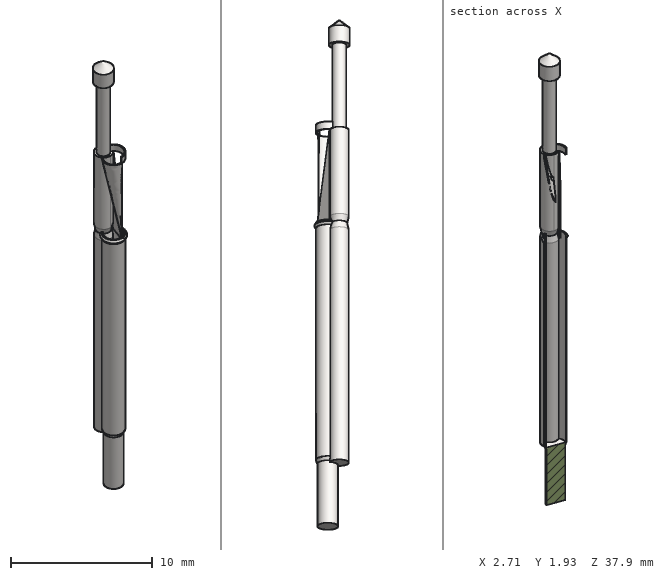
import cadquery as cq

head_dia = 1.5
head_bottom = 35.97
tip_base = 37.2
tip_top = 37.85
plunger_dia = 1.0
barrel_dia = 1.36
barrel_bottom = 4.57
barrel_top = 29.58

crimp_z = 22.58
crimp_half_height = 0.5
crimp_depth = 0.11
ring_dia = 1.93
ring_half_height = 0.19

receptacle_x = 0.995
receptacle_dia = 1.7
receptacle_bore_dia = 1.5
rim_top = 30.14
shoulder_top = 4.98
shoulder_bottom = 4.7
tail_dia = 1.47

receptacle_radius = receptacle_dia / 2
bore_radius = receptacle_bore_dia / 2
wall = receptacle_radius - bore_radius
ring_top = crimp_z + ring_half_height
ring_bottom = crimp_z - ring_half_height

scoop_point_radius = 0.02
scoop_inner_point_radius = scoop_point_radius / 2
web_start_x = 0.4
web_start_y = 0.5
join_overlap = 0.05


def vertical_cylinder(x, diameter, bottom, top):
    return cq.Workplane("XY", origin=(x, 0, bottom)).circle(diameter / 2).extrude(top - bottom)


def half_space_box(y_min, y_max):
    """Box around the receptacle head that keeps only y_min to y_max."""
    height = rim_top - crimp_z
    return (
        cq.Workplane("XY", origin=(receptacle_x, (y_min + y_max) / 2, crimp_z))
        .box(2 * receptacle_dia, y_max - y_min, height, centered=(True, True, False))
    )


def make_probe():
    """Plunger, pointed head and V-crimped barrel as one turned profile."""
    head_radius = head_dia / 2
    plunger_radius = plunger_dia / 2
    barrel_radius = barrel_dia / 2
    return (
        cq.Workplane("XZ")
        .moveTo(0, barrel_bottom)
        .lineTo(barrel_radius, barrel_bottom)
        .lineTo(barrel_radius, crimp_z - crimp_half_height)
        .lineTo(barrel_radius - crimp_depth, crimp_z)
        .lineTo(barrel_radius, crimp_z + crimp_half_height)
        .lineTo(barrel_radius, barrel_top)
        .lineTo(plunger_radius, barrel_top)
        .lineTo(plunger_radius, head_bottom)
        .lineTo(head_radius, head_bottom)
        .lineTo(head_radius, tip_base)
        .lineTo(0, tip_top)
        .close()
        .revolve(360, (0, 0), (0, 1))
    )


def make_receptacle():
    """Tube with a ridged swage ring on top, a tapered shoulder and a solid tail."""
    tail_radius = tail_dia / 2
    return (
        cq.Workplane("XZ", origin=(receptacle_x, 0, 0))
        .lineTo(tail_radius, 0)
        .lineTo(tail_radius, shoulder_bottom)
        .lineTo(receptacle_radius, shoulder_top)
        .lineTo(receptacle_radius, ring_bottom)
        .lineTo(ring_dia / 2, crimp_z)
        .lineTo(receptacle_radius, ring_top)
        .lineTo(bore_radius, ring_top)
        .lineTo(bore_radius, shoulder_top)
        .lineTo(0, shoulder_top)
        .close()
        .revolve(360, (0, 0), (0, 1))
    )


def make_rim():
    """Half ring standing above the barrel top, on the +Y side."""
    tube = vertical_cylinder(receptacle_x, receptacle_dia, barrel_top, rim_top)
    bore = vertical_cylinder(receptacle_x, receptacle_bore_dia, barrel_top, rim_top)
    return tube.cut(bore).intersect(half_space_box(-join_overlap, receptacle_dia))


def leaning_cone(rim_radius, point_radius):
    """Oblique cone from the rim circle down to a point above the ring's +X side."""
    point_x = receptacle_radius - wall / 2
    return (
        cq.Workplane("XY", origin=(receptacle_x, 0, barrel_top))
        .circle(rim_radius)
        .workplane(offset=ring_top - barrel_top)
        .center(point_x, 0)
        .circle(point_radius)
        .loft(ruled=True)
    )


def make_scoop():
    """Half of the hollow leaning cone, on the -Y side."""
    shell = leaning_cone(receptacle_radius, scoop_point_radius).cut(
        leaning_cone(bore_radius, scoop_inner_point_radius)
    )
    return shell.intersect(half_space_box(-receptacle_dia, 0))


def make_web():
    """Flat upright wall running from the probe to the scoop point, tapering in height."""
    far_x = receptacle_x + receptacle_radius
    across = cq.Vector(far_x - web_start_x, -web_start_y, 0)
    outward = cq.Vector(across.y, -across.x, 0)
    plane = cq.Plane(origin=(web_start_x, web_start_y, crimp_z), xDir=across, normal=outward)
    return (
        cq.Workplane(plane)
        .lineTo(across.Length, 0)
        .lineTo(across.Length, ring_half_height)
        .lineTo(0, barrel_top - crimp_z)
        .close()
        .extrude(-wall)
    )


result = (
    make_receptacle()
    .union(make_probe())
    .union(make_scoop())
    .union(make_web())
    .union(make_rim())
)